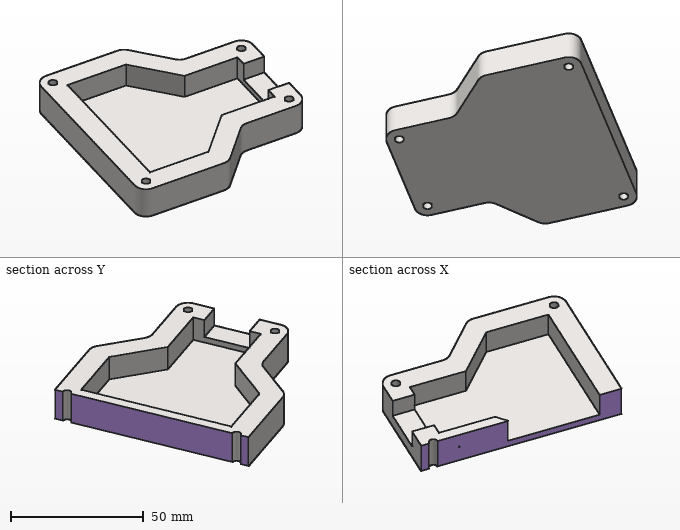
import cadquery as cq

width = 80.2
length = 82.0
height = 13.0
neck_width = 46.0
shoulder_low_y = -2.9
shoulder_high_y = 12.6
corner_radius = 5.0

wall = 9.0
floor_thickness = 3.0
pocket_low_y = -6.6
pocket_high_y = 9.0

notch_width = 18.7
notch_floor_z = 5.5

hole_diameter = 3.4


def funnel_outline(base_width, top_width, bottom_y, low_y, high_y, top_y):
    """Symmetric outline: wide base, sloped shoulders and a narrow neck."""
    base = base_width / 2
    neck = top_width / 2
    right = [(base, bottom_y), (base, low_y), (neck, high_y), (neck, top_y)]
    left = [(-x, y) for x, y in reversed(right)]
    return right + left


def make_body():
    outline = funnel_outline(
        width, neck_width, -length / 2, shoulder_low_y, shoulder_high_y, length / 2
    )
    body = cq.Workplane("XY").polyline(outline).close().extrude(height)
    return body.edges("|Z").fillet(corner_radius)


def make_pocket():
    outline = funnel_outline(
        width - 2 * wall,
        neck_width - 2 * wall,
        -length / 2 + wall,
        pocket_low_y,
        pocket_high_y,
        length / 2 - wall,
    )
    floor = cq.Workplane("XY").workplane(offset=floor_thickness)
    return floor.polyline(outline).close().extrude(height - floor_thickness)


def make_notch():
    return cq.Workplane("XY").box(
        notch_width, wall, height - notch_floor_z, centered=(True, False, False)
    ).translate((0, length / 2 - wall, notch_floor_z))


def make_screw_holes():
    base_x = width / 2 - corner_radius
    neck_x = neck_width / 2 - corner_radius
    end_y = length / 2 - corner_radius
    centers = [(-base_x, -end_y), (base_x, -end_y), (-neck_x, end_y), (neck_x, end_y)]
    return cq.Workplane("XY").pushPoints(centers).circle(hole_diameter / 2).extrude(height)


result = make_body().cut(make_pocket()).cut(make_notch()).cut(make_screw_holes())